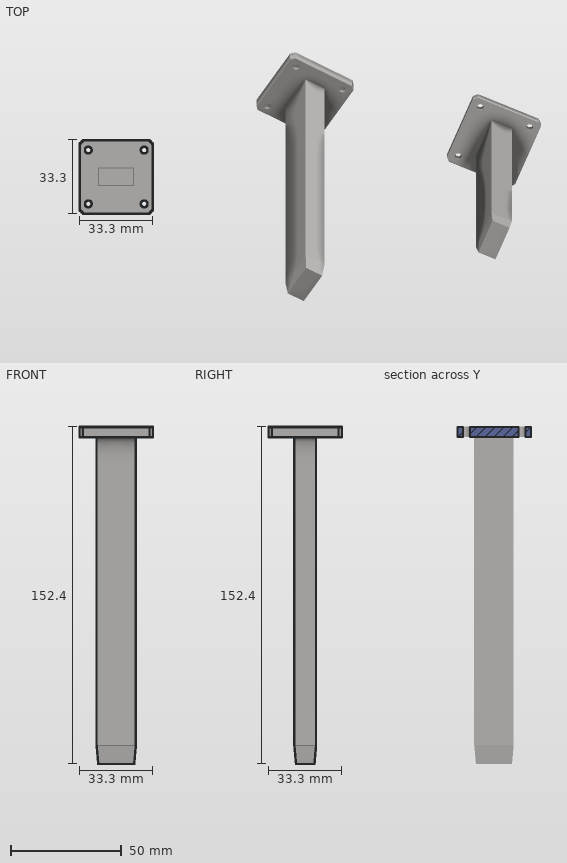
import cadquery as cq

total_length = 152.4

flange_side = 33.32
flange_thickness = 4.83
flange_corner_chamfer = 1.75
flange_edge_chamfer = 0.25

hole_diameter = 2.95
hole_spacing_x = 25.25
hole_spacing_y = 24.28

aperture_x = 15.8
aperture_y = 7.9

wall = 1.02
body_x = aperture_x + 2 * wall
body_y = aperture_y + 2 * wall

tip_length = 8.55
tip_inset = 0.77
tip_x = body_x - 2 * tip_inset
tip_y = body_y - 2 * tip_inset


def make_flange():
    """Square plate with cut corners, broken edges and four through holes."""
    plate = cq.Workplane("XY").rect(flange_side, flange_side).extrude(-flange_thickness)
    plate = plate.edges("|Z").chamfer(flange_corner_chamfer)
    plate = plate.faces("<Z or >Z").edges().chamfer(flange_edge_chamfer)
    holes = (
        cq.Workplane("XY")
        .rect(hole_spacing_x, hole_spacing_y, forConstruction=True)
        .vertices()
        .circle(hole_diameter / 2)
        .extrude(-flange_thickness)
    )
    return plate.cut(holes)


def make_body():
    """Straight rectangular bar from the flange's back face to the taper."""
    body_length = total_length - flange_thickness - tip_length
    return (
        cq.Workplane("XY", origin=(0, 0, -flange_thickness))
        .rect(body_x, body_y)
        .extrude(-body_length)
    )


def make_tip():
    """Tapered end narrowing on all four sides."""
    return (
        cq.Workplane("XY", origin=(0, 0, -total_length))
        .rect(tip_x, tip_y)
        .workplane(offset=tip_length)
        .rect(body_x, body_y)
        .loft(ruled=True)
    )


def make_aperture_fill():
    """Block through the flange at the aperture, flush with the flange face."""
    return cq.Workplane("XY").rect(aperture_x, aperture_y).extrude(-flange_thickness)


aperture_fill = make_aperture_fill()
open_body = make_flange().cut(aperture_fill).union(make_body()).union(make_tip())

result = open_body.union(aperture_fill, clean=False)